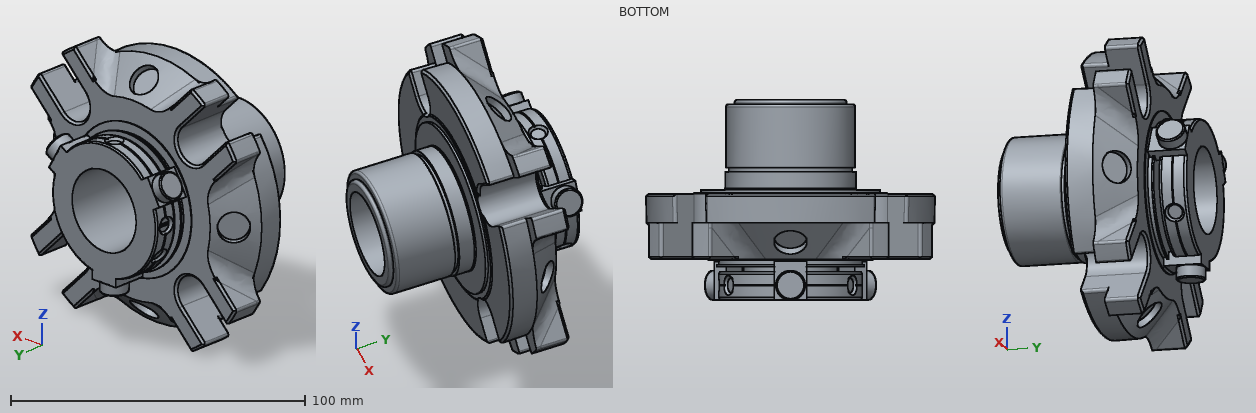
import cadquery as cq
import math


SPIGOT_END = 1.6
GROOVE_START = 23.2
GROOVE_END = 24.6
SHOULDER_RIM_FRONT = 30.1
FACE_DISC_FRONT = 30.7
FACE_STEP_FRONT = 31.7
FLANGE_FRONT = 32.1
PLATE_FRONT = 41.9
PLATE_BACK = 54.3
PAD_BACK = 54.6
SEAT_BACK = 56.2
LIP_BACK = 56.9
COLLAR_FRONT = 58.6
COLLAR_BACK = 68.2
CLIP_FRONT = 55.0

BORE_DIA = 30.0
SPIGOT_DIA = 38.2
SLEEVE_DIA = 44.0
GROOVE_DIA = 42.1
SHOULDER_DIA = 44.6
SHOULDER_RIM_DIA = 44.8
FACE_DISC_DIA = 61
FACE_STEP_DIA = 66.5
FACE_STEP_CHAMFER = 0.6
PAD_DIA = 55.9
SEAT_DIA = 48.8
LIP_DIA = 50.3
SHAFT_DIA = 32.0
SPIGOT_ROUND = 1.1
SLEEVE_ROUND = 0.9
GROOVE_ROUND = 0.3

FLANGE_RADIUS = 49.2
FLANGE_BACK_RADIUS = 49.0
EDGE_CHAMFER = 0.9
SLOT_COUNT = 4
SLOT_PITCH = 360 / SLOT_COUNT
SLOT_ANGLES = [SLOT_PITCH * (index + 0.5) for index in range(SLOT_COUNT)]
POCKET_ANGLES = [SLOT_PITCH * index for index in range(SLOT_COUNT)]
SLOT_HALF_WIDTH = 7.2
SLOT_CENTRE = 39.3
EAR_RADIUS = 55.6
EAR_THICKNESS = 7.7
EAR_WALL_OFFSET = SLOT_HALF_WIDTH + EAR_THICKNESS
CORNER_RADIUS = 1
POCKET_FILLET = 6.9
WALL_BEVEL_START = 17.7
PORT_DIA = 11.2
PORT_DEPTH = 2.9
PORT_STATION = 48.6

SCREW_STATION = 63.2
COLLAR_DIA = 48.9
COLLAR_CHAMFER = 0.9
COLLAR_BEVEL_DEPTH = 0.4
PARTING_GROOVE = 0.3
SCREW_DIA = 5.0
SCREW_RIM_DIA = 6.7
SCREW_SINK = 1.2
SCREW_ANGLES = (90, 180, 210, 330)
SLOTTED_SCREW_ANGLE = 180
DRIVER_SLOT_WIDTH = 0.9
DRIVER_SLOT_DEPTH = 0.5
CLIP_ANGLES = (30, 150, 270)
CLIP_WIDTH = 11.0
CLIP_INNER = 22.0
CLIP_OUTER = 26.8
CLIP_HEAD_DIA = 10.0
CLIP_HEAD_TOP = 31.1
CLIP_HEAD_CHAMFER = 0.5

FAR = 2 * EAR_RADIUS


def turned(points):
    """Solid of revolution about Y from (radius, y) points."""
    return cq.Workplane("XY").polyline(points).close().revolve(360, (0, 0, 0), (0, 1, 0))


def cylinder(dia, y_start, y_end):
    radius = dia / 2
    return turned([(0, y_start), (radius, y_start), (radius, y_end), (0, y_end)])


def prism(points, y_start, y_end):
    """Extrude an outline of (x, z) points from y_start to y_end."""
    outline = cq.Workplane("XZ", origin=(0, y_end, 0)).polyline(points).close()
    return outline.extrude(y_end - y_start)


def swing(shape, angle):
    """Carry a shape lying along +X to a polar angle, measured from +X toward +Z."""
    return shape.rotate((0, 0, 0), (0, 1, 0), -angle)


def radial_plane(radius, y):
    """Plane facing outward along +X."""
    return cq.Workplane("YZ", origin=(radius, y, 0))


def slot_outline(half_width, y):
    """Outline at station y of a round-bottomed slot running out along +X."""
    return (
        cq.Workplane("XZ", origin=(0, y, 0))
        .moveTo(FAR, half_width)
        .lineTo(SLOT_CENTRE, half_width)
        .threePointArc((SLOT_CENTRE - half_width, 0), (SLOT_CENTRE, -half_width))
        .lineTo(FAR, -half_width)
        .close()
    )


def slot_cutter():
    return slot_outline(SLOT_HALF_WIDTH, PLATE_BACK).extrude(PLATE_BACK - FACE_DISC_FRONT)


def front_bevel_cutter():
    """Bevel on the front edge of one side of the slot, ending at the stepped face."""
    bevel = slot_outline(SLOT_HALF_WIDTH + EDGE_CHAMFER, FLANGE_FRONT)
    bevel = bevel.extrude(-EDGE_CHAMFER, taper=45)
    bevel = bevel.cut(cylinder(FACE_STEP_DIA, FLANGE_FRONT, PLATE_FRONT))
    one_side = cq.Workplane("XY").box(FAR, FAR, FAR).translate((FAR / 2, FLANGE_FRONT, FAR / 2))
    return bevel.intersect(one_side)


def back_bevel_cutter():
    bevel = slot_outline(SLOT_HALF_WIDTH + EDGE_CHAMFER, PLATE_BACK)
    return bevel.extrude(EDGE_CHAMFER, taper=45)


def pocket_cutter():
    """Space along +X between two ears, floored by a 45 degree cone and filleted along it."""
    cutter_back = PLATE_BACK + 4.9
    back_radius = FLANGE_BACK_RADIUS - (cutter_back - PLATE_FRONT)
    apex = EAR_WALL_OFFSET * math.sqrt(2)
    wedge = prism([(apex, 0), (FAR, FAR - apex), (FAR, apex - FAR)], PLATE_FRONT, cutter_back)
    cone = turned([
        (0, PLATE_FRONT),
        (FLANGE_BACK_RADIUS, PLATE_FRONT),
        (back_radius, cutter_back),
        (0, cutter_back),
    ])
    cutter = wedge.cut(cone)
    middle_radius = (FLANGE_BACK_RADIUS + back_radius) / 2
    floor_corners = cq.selectors.BoxSelector(
        (0, PLATE_FRONT + 1, -FAR), (middle_radius + 4.9, cutter_back - 1, FAR))
    return cutter.edges(floor_corners).fillet(POCKET_FILLET)


def wall_bevel_cutter():
    """Bevel along the rear edge of one ear wall of the pocket on +X."""
    apex = EAR_WALL_OFFSET * math.sqrt(2)
    start = (apex + WALL_BEVEL_START, PLATE_BACK, WALL_BEVEL_START)
    into_ear = (-1, 0, 1)
    along_wall = (1, 0, 1)
    section = cq.Workplane(cq.Plane(start, into_ear, along_wall))
    triangle = section.polyline([(0, 0), (EDGE_CHAMFER, 0), (0, EDGE_CHAMFER)]).close()
    return triangle.extrude(EAR_RADIUS)


def port_cutter():
    """Flat-bottomed hole square to the pocket cone, on +X."""
    radius = FLANGE_BACK_RADIUS - (PORT_STATION - PLATE_FRONT)
    floor = PORT_DEPTH / math.sqrt(2)
    plane = cq.Plane((radius - floor, PORT_STATION - floor, 0), (0, 0, 1), (1, 1, 0))
    return cq.Workplane(plane).circle(PORT_DIA / 2).extrude(3 * PORT_DEPTH)


def round_outer_corners(body, inner_radius, radius):
    """Round the axial corners lying outside inner_radius."""
    corners = body.edges().filter(
        lambda edge: math.hypot(edge.Center().x, edge.Center().z) > inner_radius
        and abs(edge.tangentAt(0.5).y) > 0.9
    )
    return corners.fillet(radius)


def flange():
    """Front disc with a bevelled rim, cut by the slots."""
    face_step = FACE_STEP_DIA / 2
    disc = turned([
        (0, FACE_STEP_FRONT),
        (face_step - FACE_STEP_CHAMFER, FACE_STEP_FRONT),
        (face_step, FLANGE_FRONT),
        (FLANGE_RADIUS - EDGE_CHAMFER, FLANGE_FRONT),
        (FLANGE_RADIUS, FLANGE_FRONT + EDGE_CHAMFER),
        (FLANGE_BACK_RADIUS, PLATE_FRONT),
        (0, PLATE_FRONT),
    ])
    disc = swing(disc, SLOT_PITCH / 2)
    for angle in SLOT_ANGLES:
        disc = disc.cut(swing(slot_cutter(), angle))
    disc = round_outer_corners(disc, FLANGE_BACK_RADIUS - 1, CORNER_RADIUS)
    for angle in SLOT_ANGLES:
        disc = disc.cut(swing(front_bevel_cutter(), angle))
    return disc


def ear_plate():
    """Rear plate: a pair of ears beside each slot, with coned pockets between the pairs."""
    plate = turned([
        (0, PLATE_FRONT),
        (EAR_RADIUS, PLATE_FRONT),
        (EAR_RADIUS, PLATE_BACK - EDGE_CHAMFER),
        (EAR_RADIUS - EDGE_CHAMFER, PLATE_BACK),
        (0, PLATE_BACK),
    ])
    for angle in SLOT_ANGLES:
        plate = plate.cut(swing(slot_cutter(), angle))
    for angle in POCKET_ANGLES:
        plate = plate.cut(swing(pocket_cutter(), angle))
    plate = round_outer_corners(plate, EAR_RADIUS - 2, CORNER_RADIUS)
    bevel = wall_bevel_cutter()
    for angle in POCKET_ANGLES:
        plate = plate.cut(swing(bevel, angle))
        plate = plate.cut(swing(bevel.mirror("XY"), angle))
        plate = plate.cut(swing(port_cutter(), angle))
    for angle in SLOT_ANGLES:
        plate = plate.cut(swing(back_bevel_cutter(), angle))
    return plate


def round_rim(body, radius, y, fillet):
    """Round the circular edge of the given radius at station y."""
    rim = body.edges("%CIRCLE").filter(
        lambda edge: math.isclose(edge.radius(), radius, abs_tol=0.001)
        and math.isclose(edge.Center().y, y, abs_tol=0.001)
    )
    return rim.fillet(fillet)


def hub():
    """Stepped sleeve, face discs, rear seat and shaft, all turned about Y."""
    spigot = SPIGOT_DIA / 2
    sleeve = SLEEVE_DIA / 2
    groove = GROOVE_DIA / 2
    shoulder = SHOULDER_DIA / 2
    shoulder_rim = SHOULDER_RIM_DIA / 2
    face_disc = FACE_DISC_DIA / 2
    pad = PAD_DIA / 2
    seat = SEAT_DIA / 2
    lip = LIP_DIA / 2
    shaft = SHAFT_DIA / 2
    hub_body = turned([
        (0, 0),
        (spigot, 0),
        (spigot, SPIGOT_END),
        (sleeve, SPIGOT_END),
        (sleeve, GROOVE_START),
        (groove, GROOVE_START),
        (groove, GROOVE_END),
        (shoulder, GROOVE_END),
        (shoulder, SHOULDER_RIM_FRONT),
        (shoulder_rim, SHOULDER_RIM_FRONT),
        (shoulder_rim, FACE_DISC_FRONT),
        (face_disc, FACE_DISC_FRONT),
        (face_disc, FLANGE_FRONT),
        (pad, FLANGE_FRONT),
        (pad, PAD_BACK),
        (seat, PAD_BACK),
        (seat, SEAT_BACK),
        (lip, SEAT_BACK),
        (lip, LIP_BACK),
        (shaft, LIP_BACK),
        (shaft, COLLAR_BACK),
        (0, COLLAR_BACK),
    ])
    hub_body = round_rim(hub_body, spigot, 0, SPIGOT_ROUND)
    hub_body = round_rim(hub_body, sleeve, SPIGOT_END, SLEEVE_ROUND)
    return round_rim(hub_body, sleeve, GROOVE_START, GROOVE_ROUND)


def collar():
    """Clamp collar with bevelled rims and a fine parting groove."""
    radius = COLLAR_DIA / 2
    half_groove = PARTING_GROOVE / 2
    return turned([
        (0, COLLAR_FRONT),
        (radius - COLLAR_BEVEL_DEPTH, COLLAR_FRONT),
        (radius, COLLAR_FRONT + COLLAR_CHAMFER),
        (radius, SCREW_STATION - half_groove),
        (radius - PARTING_GROOVE, SCREW_STATION - half_groove),
        (radius - PARTING_GROOVE, SCREW_STATION + half_groove),
        (radius, SCREW_STATION + half_groove),
        (radius, COLLAR_BACK - COLLAR_CHAMFER),
        (radius - COLLAR_BEVEL_DEPTH, COLLAR_BACK),
        (0, COLLAR_BACK),
    ])


def screw_recess():
    """Tapered recess on +X that stops at the flush end of a set screw."""
    rim = radial_plane(COLLAR_DIA / 2, SCREW_STATION)
    flare = (SCREW_RIM_DIA - SCREW_DIA) / 2
    taper = math.degrees(math.atan2(flare, SCREW_SINK))
    recess = rim.circle(SCREW_RIM_DIA / 2).extrude(-SCREW_SINK, taper=taper)
    return recess.union(rim.circle(SCREW_RIM_DIA / 2).extrude(1))


def driver_slot():
    """Screwdriver slot across the end of a set screw on +X, parallel to the axis."""
    floor = radial_plane(COLLAR_DIA / 2 - SCREW_SINK - DRIVER_SLOT_DEPTH, SCREW_STATION)
    return floor.rect(SCREW_DIA, DRIVER_SLOT_WIDTH).extrude(DRIVER_SLOT_DEPTH)


def clip():
    """Setting clip on +X: a block across the collar and the cap-screw head on it."""
    length = COLLAR_BACK - CLIP_FRONT
    block = radial_plane(CLIP_INNER, CLIP_FRONT + length / 2).rect(length, CLIP_WIDTH)
    block = block.extrude(CLIP_OUTER - CLIP_INNER)
    head = radial_plane(CLIP_OUTER, SCREW_STATION).circle(CLIP_HEAD_DIA / 2)
    head = head.extrude(CLIP_HEAD_TOP - CLIP_OUTER)
    return block.union(head.faces(">X").chamfer(CLIP_HEAD_CHAMFER))


result = hub().union(flange()).union(ear_plate()).union(collar())
for screw_angle in SCREW_ANGLES:
    result = result.cut(swing(screw_recess(), screw_angle))
result = result.cut(swing(driver_slot(), SLOTTED_SCREW_ANGLE))
for clip_angle in CLIP_ANGLES:
    result = result.union(swing(clip(), clip_angle))
result = result.cut(cylinder(BORE_DIA, 0, COLLAR_BACK))